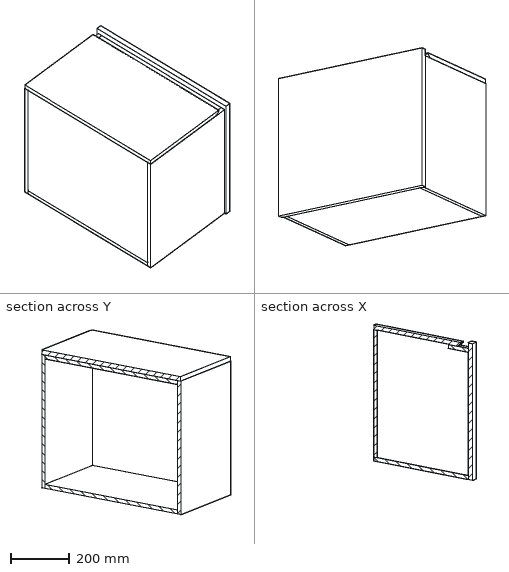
import cadquery as cq

WIDTH = 600.0
DEPTH = 400.0
HEIGHT = 500.0

BOARD = 15.5
LID_THICKNESS = 16.0
DOOR_THICKNESS = 20.0

CARCASS_WIDTH = 586.0
RAIL_DEPTH = 80.0

LID_INSET = 1.0
LID_DROP = 3.5
GRIP_GAP = 28.0
EDGE_LAND = 4.0

carcass_depth = DEPTH - DOOR_THICKNESS
carcass_height = HEIGHT - LID_DROP - LID_THICKNESS
inner_width = CARCASS_WIDTH - 2 * BOARD


def make_board(x_size, y_size, z_size, x_middle=0, y_start=0, z_start=0):
    """Rectangular board, centred on x_middle and starting at the given Y and Z."""
    return (
        cq.Workplane("XY")
        .box(x_size, y_size, z_size, centered=(True, False, False))
        .translate((x_middle, y_start, z_start))
    )


def make_side(x_middle):
    """Side panel over the full depth and height of the carcass."""
    return make_board(BOARD, carcass_depth, carcass_height, x_middle=x_middle)


def make_door():
    """Door panel closing the +Y face of the carcass."""
    return make_board(WIDTH, DOOR_THICKNESS, HEIGHT, y_start=carcass_depth)


def make_bottom():
    """Bottom panel between the sides."""
    return make_board(inner_width, carcass_depth, BOARD)


def make_back():
    """Back panel between the sides, standing on the bottom panel."""
    return make_board(inner_width, BOARD, carcass_height - BOARD, z_start=BOARD)


def make_rail():
    """Rail between the sides, flush with their tops and touching the door."""
    return make_board(
        inner_width,
        RAIL_DEPTH,
        BOARD,
        y_start=carcass_depth - RAIL_DEPTH,
        z_start=carcass_height - BOARD,
    )


def make_lid():
    """Lid resting on the carcass, undercut along the edge next to the door."""
    lid_width = CARCASS_WIDTH - 2 * LID_INSET
    lid_depth = carcass_depth - GRIP_GAP
    undercut = LID_THICKNESS - EDGE_LAND
    profile = [
        (0, 0),
        (lid_depth - undercut, 0),
        (lid_depth, undercut),
        (lid_depth, LID_THICKNESS),
        (0, LID_THICKNESS),
    ]
    return (
        cq.Workplane("YZ")
        .polyline(profile)
        .close()
        .extrude(lid_width / 2, both=True)
        .translate((0, 0, carcass_height))
    )


side_offset = (CARCASS_WIDTH - BOARD) / 2
sides = [make_side(x_middle) for x_middle in (-side_offset, side_offset)]
door = make_door()
bottom = make_bottom()
back = make_back()
rail = make_rail()
lid = make_lid()

result = cq.Compound.makeCompound([
    *[side.val() for side in sides],
    door.val(),
    bottom.val(),
    back.val(),
    rail.val(),
    lid.val(),
])